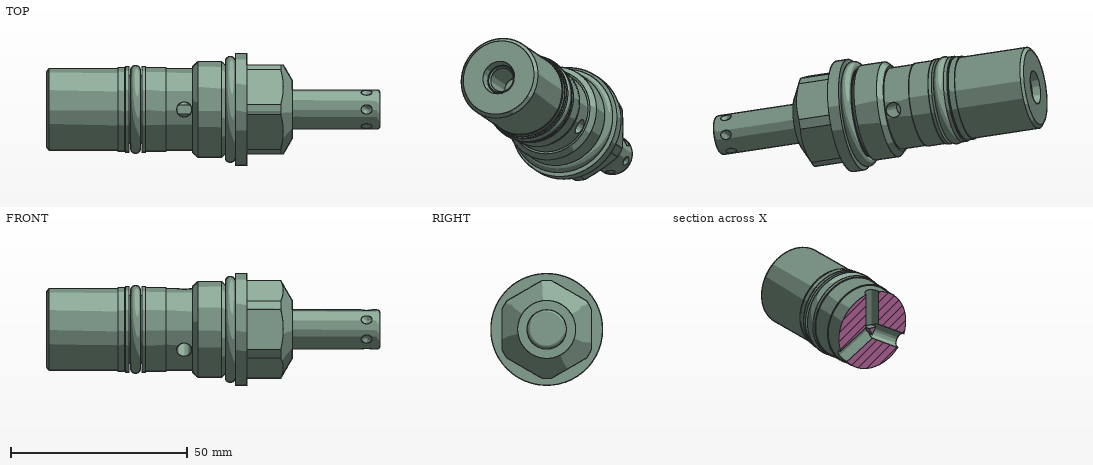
import cadquery as cq
import math

TOTAL_LENGTH = 94.6

NOSE_RADIUS = 11.6
NOSE_FACE_RADIUS = 10.7
NOSE_CHAMFER_LENGTH = 0.8

LAND_START = 20.2
LAND_END = 34.0
LAND_RADIUS = 11.9
RIB_RADIUS = 12.2
RIB_WIDTH = 1.0
RELIEF_WIDTH = 0.3
RELIEF_RADIUS = 11.6
SMALL_GROOVE_START = 23.5
SMALL_GROOVE_END = 27.1

SMALL_SEAL_X = 25.3
SMALL_SEAL_OUTER_RADIUS = 12.5
LARGE_SEAL_OUTER_RADIUS = 15.0
SEAL_SECTION_RADIUS = 1.4

COLLAR_START = 41.4
COLLAR_STEP_RADIUS = 12.2
COLLAR_BREAK_X = 41.8
COLLAR_BREAK_RADIUS = 12.6
COLLAR_FULL_X = 42.9
COLLAR_END = 49.7
COLLAR_RADIUS = 13.6

FLANGE_START = 53.5
FLANGE_END = 56.85
FLANGE_RADIUS = 15.9
HEX_END = 69.7
HEX_ACROSS_FLATS = 25.35
HEX_CORNER_RADIUS = 13.9
HEX_FACE_RADIUS = 8.2
HEX_CHAMFER_ANGLE = 30.0

STEM_RADIUS = 5.6
STEM_FILLET = 0.9
STEM_DIMPLE_X = 90.8
STEM_DIMPLE_DIAMETER = 3.1
STEM_DIMPLE_COUNT = 6
STEM_DIMPLE_ANGLE = 118.0
STEM_DIMPLE_TIP_RADIUS = 4.6

PORT_X = 39.1
PORT_DIAMETER = 4.3
PORT_COUNT = 3
PORT_FLOOR_RADIUS = 0.8

BORE_MOUTH_RADIUS = 4.7
BORE_TAPER_END_RADIUS = 4.2
BORE_TAPER_DEPTH = 2.3
BORE_STEP_RADIUS = 3.9
BORE_RADIUS = 3.4
BORE_DEPTH = 14.2

CUT_CLEARANCE = 0.3

SMALL_SEAL_RADIUS = SMALL_SEAL_OUTER_RADIUS - SEAL_SECTION_RADIUS
SMALL_GROOVE_RADIUS = SMALL_SEAL_RADIUS - SEAL_SECTION_RADIUS
LARGE_SEAL_RADIUS = LARGE_SEAL_OUTER_RADIUS - SEAL_SECTION_RADIUS
LARGE_GROOVE_RADIUS = LARGE_SEAL_RADIUS - SEAL_SECTION_RADIUS
LARGE_SEAL_X = FLANGE_START - SEAL_SECTION_RADIUS
LARGE_GROOVE_START = FLANGE_START - 2 * SEAL_SECTION_RADIUS
COLLAR_REAR_RADIUS = COLLAR_RADIUS - (LARGE_GROOVE_START - COLLAR_END)
FRONT_RIB_START = SMALL_GROOVE_START - RIB_WIDTH
REAR_RIB_END = SMALL_GROOVE_END + RIB_WIDTH
HEX_CHAMFER_LENGTH = (HEX_CORNER_RADIUS - HEX_FACE_RADIUS) * math.tan(math.radians(HEX_CHAMFER_ANGLE))
HEX_CORNER_END = HEX_END - HEX_CHAMFER_LENGTH
BORE_CHAMFER = BORE_STEP_RADIUS - BORE_RADIUS


def turned(points):
    """Revolve a closed (x, radius) outline about the X axis."""
    return cq.Workplane("XY").polyline(points).close().revolve(360, (0, 0, 0), (1, 0, 0))


def around_axis(cutter, count):
    """Equally spaced copies of a cutter about the X axis, the first one in place."""
    return [cutter.rotate((0, 0, 0), (1, 0, 0), i * 360 / count) for i in range(count)]


def make_front_section():
    """Turned nose, sealing land, collar, large seal groove and flange."""
    return turned([
        (0, 0),
        (0, NOSE_FACE_RADIUS),
        (NOSE_CHAMFER_LENGTH, NOSE_RADIUS),
        (LAND_START, NOSE_RADIUS),
        (LAND_START, LAND_RADIUS),
        (FRONT_RIB_START - RELIEF_WIDTH, LAND_RADIUS),
        (FRONT_RIB_START - RELIEF_WIDTH, RELIEF_RADIUS),
        (FRONT_RIB_START, RELIEF_RADIUS),
        (FRONT_RIB_START, RIB_RADIUS),
        (SMALL_GROOVE_START, RIB_RADIUS),
        (SMALL_GROOVE_START, SMALL_GROOVE_RADIUS),
        (SMALL_GROOVE_END, SMALL_GROOVE_RADIUS),
        (SMALL_GROOVE_END, RIB_RADIUS),
        (REAR_RIB_END, RIB_RADIUS),
        (REAR_RIB_END, LAND_RADIUS),
        (LAND_END, LAND_RADIUS),
        (LAND_END, NOSE_RADIUS),
        (COLLAR_START, NOSE_RADIUS),
        (COLLAR_START, COLLAR_STEP_RADIUS),
        (COLLAR_BREAK_X, COLLAR_BREAK_RADIUS),
        (COLLAR_FULL_X, COLLAR_RADIUS),
        (COLLAR_END, COLLAR_RADIUS),
        (LARGE_GROOVE_START, COLLAR_REAR_RADIUS),
        (LARGE_GROOVE_START, LARGE_GROOVE_RADIUS),
        (FLANGE_START, LARGE_GROOVE_RADIUS),
        (FLANGE_START, FLANGE_RADIUS),
        (FLANGE_END, FLANGE_RADIUS),
        (FLANGE_END, 0),
    ])


def make_hexagon():
    """Hexagon with flats facing -Y and +Y, rounded corners and a conical end."""
    prism = (
        cq.Workplane("YZ", origin=(FLANGE_END, 0, 0))
        .polygon(6, HEX_ACROSS_FLATS, circumscribed=True)
        .extrude(HEX_END - FLANGE_END)
    )
    envelope = turned([
        (FLANGE_END, 0),
        (FLANGE_END, HEX_CORNER_RADIUS),
        (HEX_CORNER_END, HEX_CORNER_RADIUS),
        (HEX_END, HEX_FACE_RADIUS),
        (HEX_END, 0),
    ])
    return prism.intersect(envelope)


def make_dimple_cutter():
    """Cone-tipped cutter for the shallow dimple that opens toward +Z."""
    dimple_radius = STEM_DIMPLE_DIAMETER / 2
    cone_length = dimple_radius / math.tan(math.radians(STEM_DIMPLE_ANGLE / 2))
    half_outline = [
        (0, STEM_DIMPLE_TIP_RADIUS),
        (dimple_radius, STEM_DIMPLE_TIP_RADIUS + cone_length),
        (dimple_radius, STEM_RADIUS + CUT_CLEARANCE),
        (0, STEM_RADIUS + CUT_CLEARANCE),
    ]
    return (
        cq.Workplane("XZ", origin=(STEM_DIMPLE_X, 0, 0))
        .polyline(half_outline)
        .close()
        .revolve(360, (0, 0, 0), (0, 1, 0))
    )


def make_stem():
    """Round stem with a rounded tip and a ring of shallow conical dimples."""
    stem = (
        cq.Workplane("YZ", origin=(HEX_END, 0, 0))
        .circle(STEM_RADIUS)
        .extrude(TOTAL_LENGTH - HEX_END)
        .faces(">X")
        .edges()
        .fillet(STEM_FILLET)
    )
    for dimple in around_axis(make_dimple_cutter(), STEM_DIMPLE_COUNT):
        stem = stem.cut(dimple)
    return stem


def make_nose_bore():
    """Blind bore with a tapered mouth and a chamfered step."""
    return turned([
        (0, 0),
        (0, BORE_MOUTH_RADIUS),
        (BORE_TAPER_DEPTH, BORE_TAPER_END_RADIUS),
        (BORE_TAPER_DEPTH, BORE_STEP_RADIUS),
        (BORE_TAPER_DEPTH + BORE_CHAMFER, BORE_RADIUS),
        (BORE_DEPTH, BORE_RADIUS),
        (BORE_DEPTH, 0),
    ])


def make_port_cutter():
    """Flat-bottomed cutter for the port that opens toward +Z."""
    return (
        cq.Workplane("XY", origin=(PORT_X, 0, PORT_FLOOR_RADIUS))
        .circle(PORT_DIAMETER / 2)
        .extrude(NOSE_RADIUS + CUT_CLEARANCE - PORT_FLOOR_RADIUS)
    )


def make_cartridge():
    """One-piece valve cartridge."""
    cartridge = make_front_section().union(make_hexagon()).union(make_stem())
    cartridge = cartridge.cut(make_nose_bore())
    for port in around_axis(make_port_cutter(), PORT_COUNT):
        cartridge = cartridge.cut(port)
    return cartridge.solids()


def make_seal_ring(x, ring_radius):
    """O-ring around the X axis, centred at station x."""
    section = cq.Workplane("XY").center(x, ring_radius).circle(SEAL_SECTION_RADIUS)
    return section.revolve(360, (0, -ring_radius, 0), (1, -ring_radius, 0))


cartridge = make_cartridge()
seal_rings = [
    make_seal_ring(x, ring_radius)
    for x, ring_radius in ((SMALL_SEAL_X, SMALL_SEAL_RADIUS), (LARGE_SEAL_X, LARGE_SEAL_RADIUS))
]

result = cq.Compound.makeCompound([cartridge.val(), *[ring.val() for ring in seal_rings]])